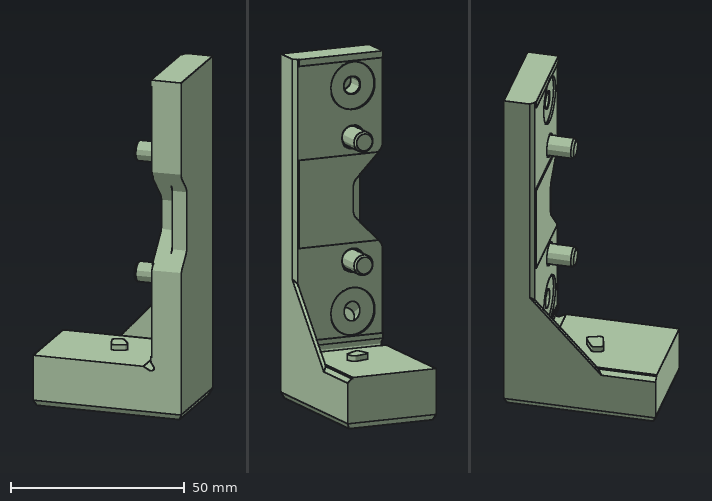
import cadquery as cq
import math

LENGTH = 45.0
DEPTH = 28.2
HEIGHT = 101.6
BASE_TOP = 15.2
MID_HEIGHT = 58.8

PAD_X = 35.8
PAD_STEP = 0.3
FACE_X = PAD_X + PAD_STEP
FLOOR_Z = BASE_TOP - PAD_STEP
TOP_PAD_HEIGHT = 2.0
LOW_PAD_HEIGHT = 3.0
MID_PAD_HALF = 13.0

FOOT_HEIGHT = 1.7
FOOT_INSET = 0.8

INNER_CHAMFER = 1.2
PAD_INSET = 0.4
PAD_DEPTH = DEPTH - INNER_CHAMFER - PAD_INSET

GUSSET_THICKNESS = INNER_CHAMFER
GUSSET_FOOT_X = 16.1
GUSSET_PEAK_Z = 36.7

GROOVE_RADIUS = 0.9
GROOVE_X = 35.9
GROOVE_Z = 15.0
GROOVE_BASE_RUN = 2.2
GROOVE_COLUMN_RUN = 1.5

NOTCH_HALF_MOUTH = 14.3
NOTCH_FRONT_DEPTH = 9.4
NOTCH_BACK_DEPTH = 5.1
NOTCH_CORNER_RADIUS = 3.0
NOTCH_STEP_X = 40.5
SELECT_MARGIN = 0.1

BORE_Y = 9.4
PIN_OFFSET = 18.2
PIN_DIAMETER = 6.0
PIN_TIP_DIAMETER = 5.0
PIN_TIP_LENGTH = 0.7
PIN_PROJECTION = 7.7
PIN_EMBED = 6.1
PIN_RECESS_DIAMETER = 7.0
PIN_RECESS_DEPTH = 1.0

HOLE_OFFSET = 33.3
HOLE_DIAMETER = 5.0
HOLE_DEPTH = 6.1
HOLE_CHAMFER = 0.2
SPOT_DIAMETER = 14.0
SPOT_DEPTH = 0.6
HOLE_MOUTH_X = FACE_X + SPOT_DEPTH
LOW_HOLE_TILT = 30.0
LOW_HOLE_DEPTH = 4.4

KEY_HEIGHT = 1.6
KEY_CORNER_RADIUS = 1.0
KEY_CORNERS = [(19.5, 12.1), (24.5, 13.7), (21.2, 18.6), (18.0, 17.8)]


def extrude_y(outline, y_start, y_end):
    """Extrude an XZ outline from y_start to y_end."""
    profile = cq.Workplane("XZ", origin=(0, y_start, 0)).polyline(outline).close()
    return profile.extrude(y_start - y_end)


def box(x_range, y_range, z_range):
    """Box between the given limits."""
    size = [high - low for low, high in (x_range, y_range, z_range)]
    return cq.Workplane().box(*size, centered=False).translate((x_range[0], y_range[0], z_range[0]))


def bore(x_start, z, diameter, depth):
    """Cylinder along +X on the bore centre line."""
    plane = cq.Workplane("YZ", origin=(x_start, BORE_Y, z))
    return plane.circle(diameter / 2).extrude(depth)


def make_foot():
    """Lowest part of the base, narrowing towards the floor on all four sides."""
    taper = math.degrees(math.atan(FOOT_INSET / FOOT_HEIGHT))
    plane = cq.Workplane("XY", origin=(LENGTH / 2, DEPTH / 2, FOOT_HEIGHT))
    return plane.rect(LENGTH, DEPTH).extrude(-FOOT_HEIGHT, taper=taper)


def make_angle():
    """Plain L: foot, base slab and column, up to the main faces."""
    base = box((0, LENGTH), (0, DEPTH), (FOOT_HEIGHT, FLOOR_Z))
    column = box((FACE_X, LENGTH), (0, DEPTH), (FLOOR_Z, HEIGHT))
    return make_foot().union(base).union(column)


def add_pads(bracket):
    """Raise the pads of the base top and the column front, short of the +Y chamfer."""
    pad_y = (0, PAD_DEPTH)
    bracket = bracket.union(box((0, FACE_X), pad_y, (FLOOR_Z, BASE_TOP)))
    column_pad_levels = [
        (FLOOR_Z, BASE_TOP + LOW_PAD_HEIGHT),
        (MID_HEIGHT - MID_PAD_HALF, MID_HEIGHT + MID_PAD_HALF),
        (HEIGHT - TOP_PAD_HEIGHT, HEIGHT),
    ]
    for levels in column_pad_levels:
        bracket = bracket.union(box((PAD_X, FACE_X), pad_y, levels))
    return bracket


def make_inner_chamfer():
    """Waste along the +Y edges of the base and column main faces."""
    c = INNER_CHAMFER
    base_triangle = [(DEPTH - c, FLOOR_Z), (DEPTH, FLOOR_Z), (DEPTH, FLOOR_Z - c)]
    base_waste = cq.Workplane("YZ").polyline(base_triangle).close().extrude(FACE_X + c)
    column_triangle = [(FACE_X, DEPTH - c), (FACE_X, DEPTH), (FACE_X + c, DEPTH)]
    column_plane = cq.Workplane("XY", origin=(0, 0, FLOOR_Z - c))
    column_waste = column_plane.polyline(column_triangle).close().extrude(HEIGHT)
    return base_waste.union(column_waste)


def make_gusset():
    """Thin triangular plate bridging the inner corner, inside the chamfer."""
    corner_x = FACE_X + INNER_CHAMFER
    foot_z = FLOOR_Z - INNER_CHAMFER
    outline = [(GUSSET_FOOT_X, foot_z), (corner_x, GUSSET_PEAK_Z), (corner_x, foot_z)]
    return extrude_y(outline, DEPTH - GUSSET_THICKNESS, DEPTH)


def groove_tangent(point, side):
    """Tangent point on the groove circle for a line from the given point."""
    dx = point[0] - GROOVE_X
    dz = point[1] - GROOVE_Z
    angle = math.atan2(dz, dx) + side * math.acos(GROOVE_RADIUS / math.hypot(dx, dz))
    return (GROOVE_X + GROOVE_RADIUS * math.cos(angle), GROOVE_Z + GROOVE_RADIUS * math.sin(angle))


def make_groove():
    """Round-bottomed relief groove with sloping flanks to base and column."""
    base_edge = (PAD_X - GROOVE_BASE_RUN, BASE_TOP)
    column_edge = (PAD_X, BASE_TOP + GROOVE_COLUMN_RUN)
    outline = [
        (PAD_X, BASE_TOP),
        base_edge,
        groove_tangent(base_edge, 1),
        (GROOVE_X, GROOVE_Z),
        groove_tangent(column_edge, -1),
        column_edge,
    ]
    y_end = DEPTH - GUSSET_THICKNESS
    flanks = extrude_y(outline, 0, y_end)
    circle = cq.Workplane("XZ").center(GROOVE_X, GROOVE_Z).circle(GROOVE_RADIUS)
    return flanks.union(circle.extrude(-y_end))


def notch_outline(depth):
    """YZ corner points of one notch, bottom to top."""
    floor_half = NOTCH_HALF_MOUTH - depth
    return [
        (0, MID_HEIGHT - NOTCH_HALF_MOUTH),
        (depth, MID_HEIGHT - floor_half),
        (depth, MID_HEIGHT + floor_half),
        (0, MID_HEIGHT + NOTCH_HALF_MOUTH),
    ]


def make_notched_slab(x_start, x_end, depth):
    """Full-height slab carrying one notch with all four corners rounded."""
    outline = [(0, 0), *notch_outline(depth), (0, HEIGHT), (DEPTH, HEIGHT), (DEPTH, 0)]
    slab = cq.Workplane("YZ", origin=(x_start, 0, 0)).polyline(outline).close().extrude(x_end - x_start)
    low = (x_start, -SELECT_MARGIN, MID_HEIGHT - NOTCH_HALF_MOUTH - SELECT_MARGIN)
    high = (x_end, depth + SELECT_MARGIN, MID_HEIGHT + NOTCH_HALF_MOUTH + SELECT_MARGIN)
    corners = cq.selectors.BoxSelector(low, high)
    return slab.edges("|X").edges(corners).fillet(NOTCH_CORNER_RADIUS)


def make_notch_envelope():
    """Space left for the bracket around the stepped notch."""
    front = make_notched_slab(0, NOTCH_STEP_X, NOTCH_FRONT_DEPTH)
    back = make_notched_slab(NOTCH_STEP_X, LENGTH, NOTCH_BACK_DEPTH)
    return front.union(back)


def make_spot_face(z):
    """Shallow round recess around a hole."""
    return bore(PAD_X, z, SPOT_DIAMETER, HOLE_MOUTH_X - PAD_X)


def make_top_hole(z):
    """Straight blind hole with a lightly broken edge."""
    drill_radius = HOLE_DIAMETER / 2
    half_profile = [
        (HOLE_MOUTH_X, BORE_Y),
        (HOLE_MOUTH_X, BORE_Y + drill_radius + HOLE_CHAMFER),
        (HOLE_MOUTH_X + HOLE_CHAMFER, BORE_Y + drill_radius),
        (HOLE_MOUTH_X + HOLE_DEPTH, BORE_Y + drill_radius),
        (HOLE_MOUTH_X + HOLE_DEPTH, BORE_Y),
    ]
    profile = cq.Workplane("XY", origin=(0, 0, z)).polyline(half_profile).close()
    return profile.revolve(360, (0, BORE_Y), (1, BORE_Y))


def make_low_hole(z):
    """Flat-bottomed blind hole sloping down into the column."""
    drill = bore(HOLE_MOUTH_X - HOLE_DIAMETER, z, HOLE_DIAMETER, HOLE_DIAMETER + LOW_HOLE_DEPTH)
    return drill.rotate((HOLE_MOUTH_X, 0, z), (HOLE_MOUTH_X, 1, z), LOW_HOLE_TILT)


def make_key():
    """Rounded four-sided locating key standing on the base."""
    plane = cq.Workplane("XY", origin=(0, 0, BASE_TOP))
    key = plane.polyline(KEY_CORNERS).close().extrude(KEY_HEIGHT)
    return key.edges("|Z").fillet(KEY_CORNER_RADIUS)


def make_bracket(pin_levels):
    """L bracket with pads, gusset, groove, notch, bores and key."""
    bracket = make_angle().cut(make_inner_chamfer())
    bracket = add_pads(bracket).union(make_gusset())
    bracket = bracket.cut(make_groove()).intersect(make_notch_envelope())
    for z in pin_levels:
        bracket = bracket.cut(bore(PAD_X, z, PIN_RECESS_DIAMETER, PAD_STEP + PIN_RECESS_DEPTH))
        bracket = bracket.cut(bore(FACE_X, z, PIN_DIAMETER, PIN_EMBED))
    top_z = MID_HEIGHT + HOLE_OFFSET
    low_z = MID_HEIGHT - HOLE_OFFSET
    bracket = bracket.cut(make_spot_face(top_z)).cut(make_top_hole(top_z))
    bracket = bracket.cut(make_spot_face(low_z)).cut(make_low_hole(low_z))
    return bracket.union(make_key())


def make_pin(z):
    """Dowel pin with a chamfered free end."""
    tip_inset = (PIN_DIAMETER - PIN_TIP_DIAMETER) / 2
    pin = bore(FACE_X - PIN_PROJECTION, z, PIN_DIAMETER, PIN_PROJECTION + PIN_EMBED)
    return pin.faces("<X").chamfer(PIN_TIP_LENGTH, tip_inset)


pin_levels = [MID_HEIGHT - PIN_OFFSET, MID_HEIGHT + PIN_OFFSET]
bracket = make_bracket(pin_levels)
pins = [make_pin(z) for z in pin_levels]

result = cq.Compound.makeCompound([bracket.val(), *[pin.val() for pin in pins]])